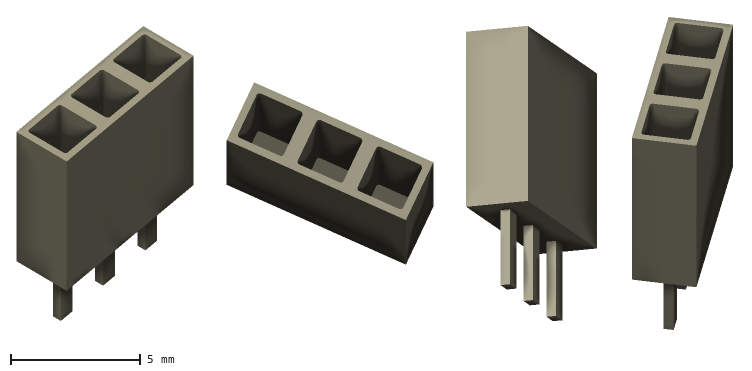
import cadquery as cq

pole_count = 3
pitch = 2.54
housing_height = 7.0
cavity_side = 1.945
cavity_depth = 6.0
cavity_corner_radius = 0.127
pin_thickness = 0.4
pin_width = 0.7
pin_length = 3.0

row_centre = (pole_count - 1) / 2
pole_positions = [(index - row_centre) * pitch for index in range(pole_count)]


def make_housing(y_centre):
    """Square block standing on Z = 0 with a round-cornered blind cavity open at the top."""
    block = cq.Workplane("XY").box(pitch, pitch, housing_height, centered=(True, True, False))
    cavity = (
        cq.Workplane("XY")
        .workplane(offset=housing_height - cavity_depth)
        .rect(cavity_side, cavity_side)
        .extrude(cavity_depth)
        .edges("|Z")
        .fillet(cavity_corner_radius)
    )
    return block.cut(cavity).translate((0, y_centre, 0))


def make_pin(y_centre):
    """Flat rectangular pin hanging from the underside of a housing."""
    return (
        cq.Workplane("XY")
        .center(0, y_centre)
        .rect(pin_thickness, pin_width)
        .extrude(-pin_length)
    )


housings = [make_housing(y_centre) for y_centre in pole_positions]
pins = [make_pin(y_centre) for y_centre in pole_positions]

result = cq.Compound.makeCompound([body.val() for body in housings + pins])